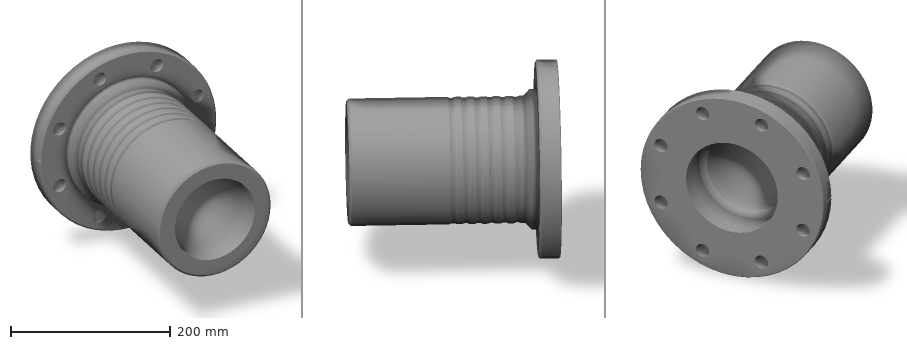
import cadquery as cq

length = 265.0
flange_diameter = 250.0
body_diameter = 160.0

flange_thickness = 27.0
plate_joint = 13.0
front_edge_chamfer = 1.0
back_edge_chamfer = 2.0

collar_diameter = 176.0
collar_end = 35.0
cone_end = collar_end + (collar_diameter - body_diameter) / 2

groove_count = 6
groove_pitch = 16.2
groove_width = 9.3
groove_depth = 1.3
first_groove_start = 48.0

end_chamfer = 3.0

entry_bore_diameter = 125.0
bore_diameter = 112.5
entry_bore_depth = 41.0
bore_cone_end = 51.7

bolt_hole_diameter = 18.0
bolt_circle_diameter = 210.0
bolt_count = 8

slit_width = 2.6
slit_depth = 2.6


def make_outer_body():
    flange_radius = flange_diameter / 2
    collar_radius = collar_diameter / 2
    body_radius = body_diameter / 2
    profile = (
        cq.Workplane("XY")
        .moveTo(0, 0)
        .lineTo(0, flange_radius - front_edge_chamfer)
        .lineTo(front_edge_chamfer, flange_radius)
        .lineTo(flange_thickness - back_edge_chamfer, flange_radius)
        .lineTo(flange_thickness, flange_radius - back_edge_chamfer)
        .lineTo(flange_thickness, collar_radius)
        .lineTo(collar_end, collar_radius)
        .lineTo(cone_end, body_radius)
    )
    for index in range(groove_count):
        start = first_groove_start + index * groove_pitch
        profile = profile.lineTo(start, body_radius).threePointArc(
            (start + groove_width / 2, body_radius - groove_depth),
            (start + groove_width, body_radius),
        )
    profile = (
        profile.lineTo(length - end_chamfer, body_radius)
        .lineTo(length, body_radius - end_chamfer)
        .lineTo(length, 0)
        .close()
    )
    return profile.revolve(360, (0, 0, 0), (1, 0, 0))


def make_bore():
    return (
        cq.Workplane("XY")
        .moveTo(0, 0)
        .lineTo(0, entry_bore_diameter / 2)
        .lineTo(entry_bore_depth, entry_bore_diameter / 2)
        .lineTo(bore_cone_end, bore_diameter / 2)
        .lineTo(length, bore_diameter / 2)
        .lineTo(length, 0)
        .close()
        .revolve(360, (0, 0, 0), (1, 0, 0))
    )


def make_bolt_holes():
    half_step = 180 / bolt_count
    return (
        cq.Workplane("YZ")
        .polarArray(bolt_circle_diameter / 2, half_step, 360, bolt_count)
        .circle(bolt_hole_diameter / 2)
        .extrude(flange_thickness)
    )


def make_rim_slit():
    return (
        cq.Workplane("XY")
        .box(flange_thickness - plate_joint, slit_depth, slit_width, centered=(False, False, True))
        .translate((plate_joint, -flange_diameter / 2, 0))
    )


result = make_outer_body().cut(make_bore()).cut(make_bolt_holes()).cut(make_rim_slit())